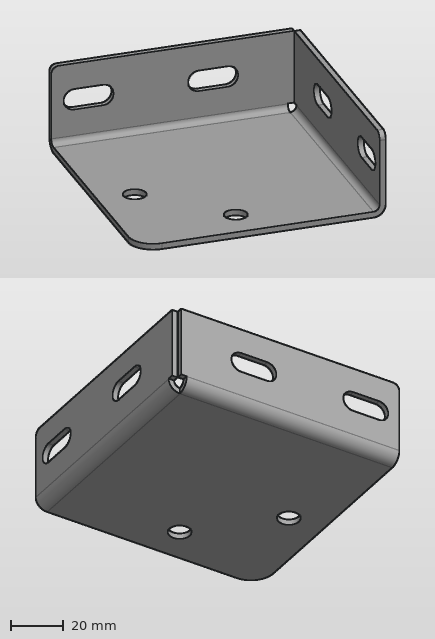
import cadquery as cq

length_x = 100.0
length_y = 100.0
height = 35.0
thickness = 2.5
bend_inner_radius = 2.5
bend_outer_radius = bend_inner_radius + thickness

corner_clearance = 0.01

base_corner_radius = 10.0
wall_corner_radius = 3.0

base_hole_diameter = 9.0
base_hole_centers = [(55.0, 15.0), (85.0, 45.0)]

slot_length = 20.0
slot_width = 8.5
slot_height = (bend_outer_radius + height) / 2
slot_offsets = [35.0, 85.0]


def make_base():
    """Flat plate that starts where the two bends end."""
    size_x = length_x - bend_outer_radius
    size_y = length_y - bend_outer_radius
    plate = (
        cq.Workplane("XY")
        .box(size_x, size_y, thickness, centered=False)
        .translate((bend_outer_radius, 0, 0))
        .edges("|Z and >X and <Y")
        .fillet(base_corner_radius)
    )
    holes = (
        cq.Workplane("XY")
        .pushPoints(base_hole_centers)
        .circle(base_hole_diameter / 2)
        .extrude(thickness)
    )
    return plate.cut(holes)


def make_bend(bend_length):
    """Quarter-ring bend along +Y, joining a wall on the YZ plane to the base."""
    return (
        cq.Workplane("XZ")
        .moveTo(0, bend_outer_radius)
        .radiusArc((bend_outer_radius, 0), -bend_outer_radius)
        .lineTo(bend_outer_radius, thickness)
        .radiusArc((thickness, bend_outer_radius), bend_inner_radius)
        .close()
        .extrude(-bend_length)
    )


def make_flange(flange_length):
    """Wall with its bend. It stands on the YZ plane; the shared corner is at +Y."""
    wall_length = flange_length - thickness - corner_clearance
    wall = (
        cq.Workplane("XY")
        .box(thickness, wall_length, height - bend_outer_radius, centered=False)
        .translate((0, 0, bend_outer_radius))
        .edges("|X and >Z and <Y")
        .fillet(wall_corner_radius)
    )
    slots = (
        cq.Workplane("YZ")
        .pushPoints([(flange_length - offset, slot_height) for offset in slot_offsets])
        .slot2D(slot_length, slot_width)
        .extrude(thickness)
    )
    return wall.cut(slots).union(make_bend(flange_length - bend_outer_radius))


left_flange = make_flange(length_y)
back_flange = (
    make_flange(length_x)
    .mirror("YZ")
    .rotate((0, 0, 0), (0, 0, 1), 90)
    .translate((length_x, length_y, 0))
)

result = make_base().union(left_flange).union(back_flange)